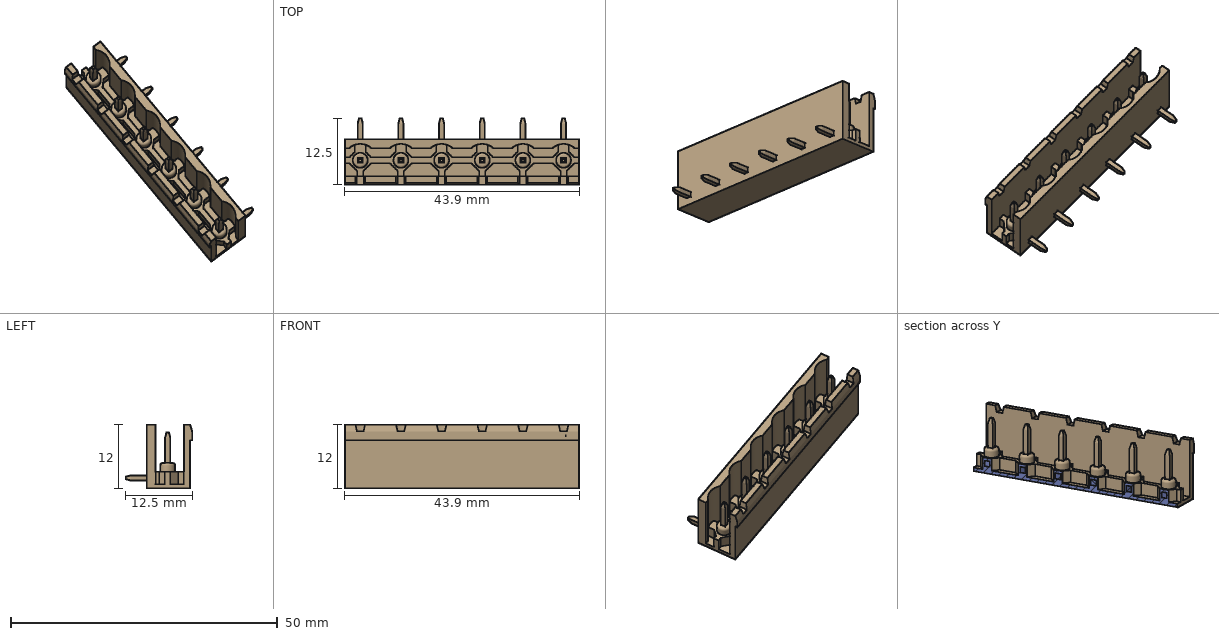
import cadquery as cq


pin_count = 6
row_span = 38.1
pitch = row_span / (pin_count - 1)
housing_length = 43.9
pin_positions = [(index - (pin_count - 1) / 2) * pitch for index in range(pin_count)]

housing_height = 12.0
back_y = 3.95
front_y = -4.2
back_wall = 1.7
front_wall = 1.2
floor_thickness = 0.8
channel_back_y = back_y - back_wall
channel_front_y = front_y + front_wall

lip_projection = 0.4
lip_bottom_z = 9.0
lip_bevel_z = 10.7
lip_y = front_y - lip_projection

relief_radius = 3.07

bed_top_z = 3.15
web_half_width = 0.53
bed_half_length = 2.05
back_neck_width = 1.98
front_neck_width = 1.15

notch_bottom_width = 1.25
notch_top_width = 1.85

collar_diameter = 2.8
collar_top_z = 4.8
collar_round = 0.5

pin_width = 1.0
pin_tip_width = 0.5
pin_taper = 1.0
pin_top_z = 10.55
pin_tail_y = 7.9
tail_axis_z = 1.98


def build_shell():
    """U-shaped housing section with the latch lip, extruded along the row."""
    section = [
        (back_y, 0),
        (back_y, housing_height),
        (channel_back_y, housing_height),
        (channel_back_y, floor_thickness),
        (channel_front_y, floor_thickness),
        (channel_front_y, housing_height),
        (front_y, housing_height),
        (lip_y, lip_bevel_z),
        (lip_y, lip_bottom_z),
        (front_y, lip_bottom_z),
        (front_y, 0),
    ]
    return cq.Workplane("YZ").polyline(section).close().extrude(housing_length / 2, both=True)


def build_reliefs():
    """Cylinders that scallop the back wall down to the channel floor."""
    relief_height = housing_height - floor_thickness
    back_half = cq.Workplane("XY", origin=(0, 0, floor_thickness)).box(
        housing_length, relief_radius, relief_height, centered=(True, False, False)
    )
    return (
        cq.Workplane("XY", origin=(0, 0, floor_thickness))
        .pushPoints([(x, 0) for x in pin_positions])
        .circle(relief_radius)
        .extrude(relief_height)
        .intersect(back_half)
    )


def build_web():
    """Straight rib that joins all the pin seats along the row."""
    return cq.Workplane("XY").rect(housing_length, 2 * web_half_width).extrude(bed_top_z)


def build_seat(x):
    """Pin seat: 45 degree flanks narrowing to a wide back neck and a slim front neck."""
    back_neck_half_width = back_neck_width / 2
    front_neck_half_width = front_neck_width / 2
    back_neck_y = web_half_width + bed_half_length - back_neck_half_width
    front_neck_y = -(web_half_width + bed_half_length - front_neck_half_width)
    neck_end_y = (relief_radius + back_y) / 2
    half_outline = [
        (back_neck_half_width, neck_end_y),
        (back_neck_half_width, back_neck_y),
        (bed_half_length, web_half_width),
        (bed_half_length, -web_half_width),
        (front_neck_half_width, front_neck_y),
        (front_neck_half_width, channel_front_y),
    ]
    mirrored = [(-px, py) for px, py in reversed(half_outline)]
    seat = cq.Workplane("XY").polyline(half_outline + mirrored).close().extrude(bed_top_z)
    return seat.translate((x, 0, 0))


def build_collar(x):
    """Round collar standing on the bed, with a rounded top rim."""
    return (
        cq.Workplane("XY", origin=(x, 0, bed_top_z))
        .circle(collar_diameter / 2)
        .extrude(collar_top_z - bed_top_z)
        .faces(">Z")
        .edges()
        .fillet(collar_round)
    )


def build_notch(x):
    """Tapered keying notch through the top of the front wall and lip."""
    section = [
        (-notch_bottom_width / 2, lip_bevel_z),
        (notch_bottom_width / 2, lip_bevel_z),
        (notch_top_width / 2, housing_height),
        (-notch_top_width / 2, housing_height),
    ]
    notch = (
        cq.Workplane("XZ", origin=(0, channel_front_y, 0))
        .polyline(section)
        .close()
        .extrude(channel_front_y - lip_y)
    )
    return notch.translate((x, 0, 0))


def build_post(length):
    """Square post along +Z from Z = 0, with a tapered tip."""
    shank = cq.Workplane("XY").rect(pin_width, pin_width).extrude(length - pin_taper)
    tip = (
        cq.Workplane("XY", origin=(0, 0, length - pin_taper))
        .rect(pin_width, pin_width)
        .workplane(offset=pin_taper)
        .rect(pin_tip_width, pin_tip_width)
        .loft()
    )
    return shank.union(tip)


def build_pin(x):
    """Right-angle pin: an upright contact and a tail through the back wall."""
    heel_z = tail_axis_z - pin_width / 2
    heel_y = -pin_width / 2
    contact = build_post(pin_top_z - heel_z).translate((0, 0, heel_z))
    tail = (
        build_post(pin_tail_y - heel_y)
        .rotate((0, 0, 0), (1, 0, 0), -90)
        .translate((0, heel_y, tail_axis_z))
    )
    return contact.union(tail).translate((x, 0, 0))


def build_housing(pins):
    """Housing with one seat, collar, notch and fitted pin passage per pin."""
    housing = build_shell().cut(build_reliefs()).union(build_web())
    for x in pin_positions:
        housing = housing.union(build_seat(x)).union(build_collar(x)).cut(build_notch(x))
    for pin in pins:
        housing = housing.cut(pin)
    return housing


pins = [build_pin(x) for x in pin_positions]
housing = build_housing(pins)

result = cq.Compound.makeCompound([housing.val(), *[pin.val() for pin in pins]])